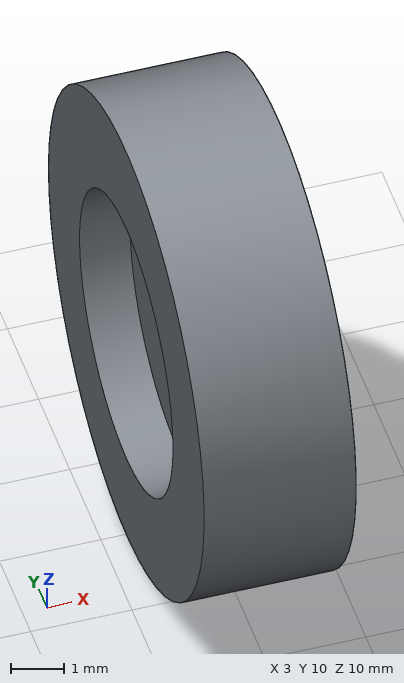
import cadquery as cq

disc_diameter = 10.0
disc_thickness = 3.0
recess_diameter = 6.0
recess_depth = 1.0


def x_cylinder(diameter, length, start_x):
    """Cylinder along the X axis, running from start_x toward +X."""
    return (
        cq.Workplane("YZ", origin=(start_x, 0, 0))
        .circle(diameter / 2)
        .extrude(length)
    )


disc = x_cylinder(disc_diameter, disc_thickness, 0)
recess = x_cylinder(recess_diameter, recess_depth, 0)

result = disc.cut(recess)